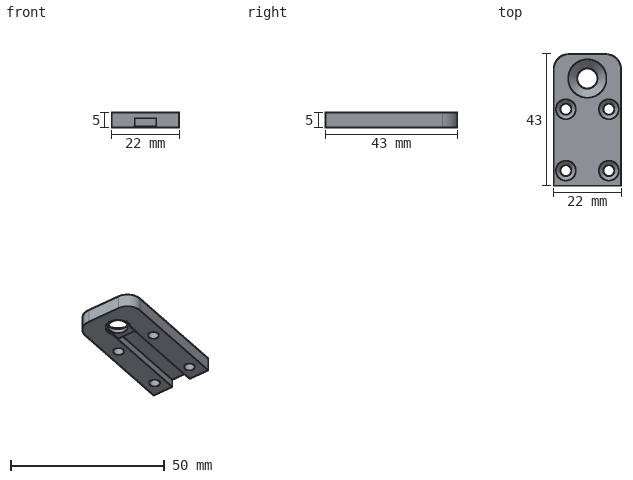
import cadquery as cq

width = 22.0
length = 43.0
thickness = 5.0
corner_radius = 5.0
front_y = -length / 2

main_hole_diameter = 6.5
main_sink_diameter = 12.5
main_hole_end_distance = 8.0
main_hole_y = length / 2 - main_hole_end_distance

screw_hole_diameter = 3.5
screw_sink_diameter = 6.5
screw_spacing_x = 14.0
screw_spacing_y = 20.0
screw_end_distance = 5.0
screw_front_y = front_y + screw_end_distance
sink_angle = 90.0

channel_width = 7.0
channel_depth = 3.0
channel_length = screw_spacing_y + 2 * screw_end_distance
channel_end_y = front_y + channel_length

relief_diameter = 8.0
relief_depth = 0.4


def make_plate():
    plate = cq.Workplane("XY").box(width, length, thickness, centered=(True, True, False))
    return plate.edges("|Z and >Y").fillet(corner_radius)


def cut_countersunk_holes(body, centers, hole_diameter, sink_diameter):
    top = body.faces(">Z").workplane(origin=(0, 0, thickness))
    return top.pushPoints(centers).cskHole(hole_diameter, sink_diameter, sink_angle)


def make_groove(start_y, end_y, depth):
    groove = cq.Workplane("XY").box(
        channel_width, end_y - start_y, depth, centered=(True, False, False)
    )
    return groove.translate((0, start_y, 0))


def make_relief():
    circle = cq.Workplane("XY").center(0, main_hole_y).circle(relief_diameter / 2).extrude(relief_depth)
    return circle.union(make_groove(channel_end_y, main_hole_y, relief_depth))


screw_centers = [
    (side * screw_spacing_x / 2, screw_front_y + row * screw_spacing_y)
    for side in (-1, 1)
    for row in (0, 1)
]

result = make_plate()
result = cut_countersunk_holes(result, [(0, main_hole_y)], main_hole_diameter, main_sink_diameter)
result = cut_countersunk_holes(result, screw_centers, screw_hole_diameter, screw_sink_diameter)
result = result.cut(make_groove(front_y, channel_end_y, channel_depth))
result = result.cut(make_relief())